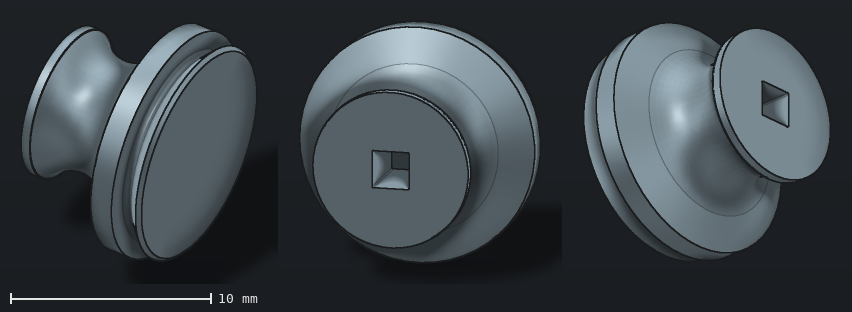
import cadquery as cq
import math

length = 8.0
rim_radius = 6.06

flange_radius = 4.0
flange_width = 0.52

neck_x = 2.41
neck_radius = 3.01
neck_arc_radius = 2.38
cone_angle = math.radians(65)

rim_start = 5.36
rim_end = 6.59

groove_x = 6.89
groove_radius = 4.92
groove_arc_radius = 0.24
groove_wall_angle = math.radians(86)
lip_angle = math.radians(45)

lip_bevel = 0.22
lip_x = length - lip_bevel

socket_side = 1.9
socket_corner_radius = 0.07
socket_depth = 4.0


def on_concave_arc(bottom_x, bottom_radius, arc_radius, slope):
    """Point of a concave arc where its tangent is inclined by slope to the axis."""
    return (
        bottom_x + arc_radius * math.sin(slope),
        bottom_radius + arc_radius * (1 - math.cos(slope)),
    )


def revolved_body():
    neck_slope = math.asin((neck_x - flange_width) / neck_arc_radius)
    neck_start = on_concave_arc(neck_x, neck_radius, neck_arc_radius, -neck_slope)
    neck_end = on_concave_arc(neck_x, neck_radius, neck_arc_radius, cone_angle)
    groove_start = on_concave_arc(groove_x, groove_radius, groove_arc_radius, -groove_wall_angle)
    groove_end = on_concave_arc(groove_x, groove_radius, groove_arc_radius, lip_angle)
    lip_radius = groove_end[1] + (lip_x - groove_end[0]) * math.tan(lip_angle)

    profile = (
        cq.Workplane("XY")
        .moveTo(0, 0)
        .lineTo(0, flange_radius)
        .lineTo(flange_width, flange_radius)
        .lineTo(*neck_start)
        .threePointArc((neck_x, neck_radius), neck_end)
        .lineTo(rim_start, rim_radius)
        .lineTo(rim_end, rim_radius)
        .lineTo(*groove_start)
        .threePointArc((groove_x, groove_radius), groove_end)
        .lineTo(lip_x, lip_radius)
        .lineTo(length, lip_radius - lip_bevel)
        .lineTo(length, 0)
        .close()
    )
    return profile.revolve(360, (0, 0, 0), (1, 0, 0))


def square_socket():
    return (
        cq.Workplane("YZ")
        .rect(socket_side, socket_side)
        .extrude(socket_depth)
        .edges("|X")
        .fillet(socket_corner_radius)
    )


result = revolved_body().cut(square_socket())